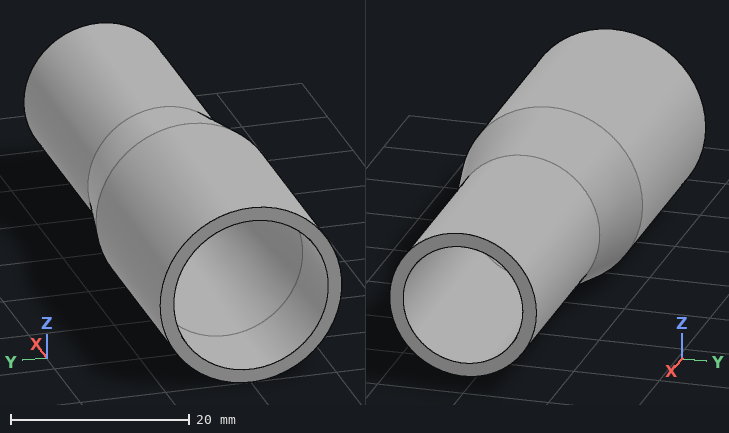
import cadquery as cq

TOTAL_LENGTH = 60.0

LARGE_OUTER_DIAMETER = 21.3
SMALL_OUTER_DIAMETER = 17.2
OUTER_TAPER_LENGTH = 10.0
OUTER_TAPER_START = (TOTAL_LENGTH - OUTER_TAPER_LENGTH) / 2
OUTER_TAPER_END = OUTER_TAPER_START + OUTER_TAPER_LENGTH

WALL_THICKNESS = 1.6
LARGE_BORE_DIAMETER = LARGE_OUTER_DIAMETER - 2 * WALL_THICKNESS
SMALL_BORE_DIAMETER = SMALL_OUTER_DIAMETER - 2 * WALL_THICKNESS
BORE_TAPER_START = 10.0
BORE_TAPER_END = 33.0


def stepped_round(large_diameter, small_diameter, taper_start, taper_end):
    """Solid of revolution about X: wide cylinder, cone, narrow cylinder."""
    large_radius = large_diameter / 2
    small_radius = small_diameter / 2
    half_profile = (
        cq.Workplane("XY")
        .moveTo(0, 0)
        .lineTo(0, large_radius)
        .lineTo(taper_start, large_radius)
        .lineTo(taper_end, small_radius)
        .lineTo(TOTAL_LENGTH, small_radius)
        .lineTo(TOTAL_LENGTH, 0)
        .close()
    )
    return half_profile.revolve(360, (0, 0, 0), (1, 0, 0))


outer_body = stepped_round(
    LARGE_OUTER_DIAMETER, SMALL_OUTER_DIAMETER, OUTER_TAPER_START, OUTER_TAPER_END
)
through_bore = stepped_round(
    LARGE_BORE_DIAMETER, SMALL_BORE_DIAMETER, BORE_TAPER_START, BORE_TAPER_END
)

result = outer_body.cut(through_bore)